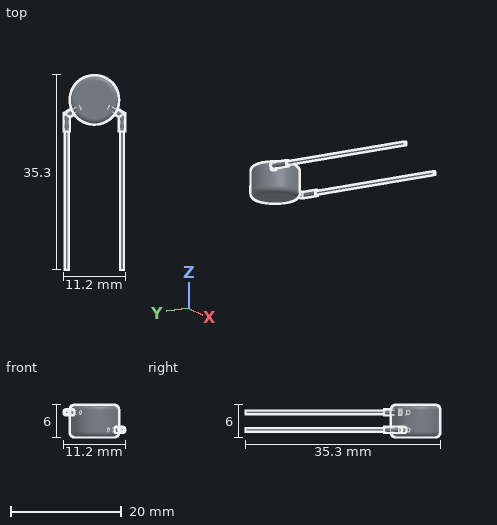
import cadquery as cq
import math

disc_diameter = 9.0
disc_radius = disc_diameter / 2
disc_height = 6.0
rim_fillet = 1.02

lead_pitch = 10.0
lead_x = lead_pitch / 2
lead_inset = 1.4
lead_z = disc_height / 2 - lead_inset
leads = [(-1, lead_z), (1, -lead_z)]

bend_y = -2.75
bend_angle = math.radians(60.0)
inner_run = 2.82

sleeve_diameter = 1.2
sleeve_end_y = -5.75

wire_diameter = 0.75
overall_length = 35.3
wire_end_y = disc_radius - overall_length


def bent_rod(diameter, side, height, end_y):
    """Round rod from end_y along Y to a mitred bend, then on into the disc."""
    rod_x = side * lead_x
    inner_x = rod_x - side * inner_run * math.sin(bend_angle)
    inner_y = bend_y + inner_run * math.cos(bend_angle)
    path = (
        cq.Workplane("XY", origin=(0, 0, height))
        .moveTo(rod_x, end_y)
        .lineTo(rod_x, bend_y)
        .lineTo(inner_x, inner_y)
    )
    section = cq.Workplane("XZ", origin=(rod_x, end_y, height)).circle(diameter / 2)
    return section.sweep(path, transition="right")


def make_wire(side, height):
    """Lead wire, embedded in the coating and bare beyond its sleeve."""
    return bent_rod(wire_diameter, side, height, wire_end_y)


def make_disc():
    """Plain disc with both rims rounded."""
    disc = cq.Workplane("XY").workplane(offset=-disc_height / 2).circle(disc_radius).extrude(disc_height)
    return disc.faces("|Z").edges().fillet(rim_fillet)


def make_coating(wires):
    """Disc and its two sleeves as one solid, with a matching bore for each wire."""
    coating = make_disc()
    for side, height in leads:
        coating = coating.union(bent_rod(sleeve_diameter, side, height, sleeve_end_y))
    for wire in wires:
        coating = coating.cut(wire)
    return coating


lead_wires = [make_wire(side, height) for side, height in leads]
coating = make_coating(lead_wires)

result = cq.Compound.makeCompound([coating.val(), *[wire.val() for wire in lead_wires]])